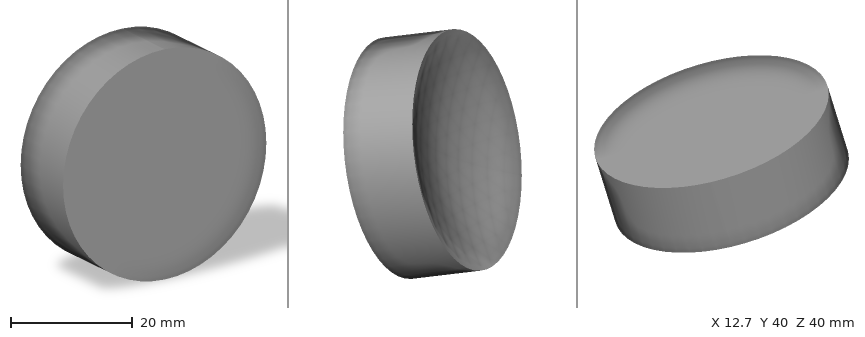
import cadquery as cq

diameter = 40.0
edge_thickness = 12.7
concave_radius = 43.7

rim_radius = diameter / 2
front_face_x = -edge_thickness / 2

sphere_centre_x = front_face_x - (concave_radius**2 - rim_radius**2) ** 0.5


def half_rod(start_angle):
    """Half of the cylindrical blank, starting at an angle about X."""
    return (
        cq.Workplane("YZ")
        .workplane(offset=front_face_x)
        .moveTo(0, -rim_radius)
        .threePointArc((rim_radius, 0), (0, rim_radius))
        .close()
        .extrude(edge_thickness)
        .rotate((0, 0, 0), (1, 0, 0), start_angle)
    )


def half_sphere(start_angle):
    """Half of the hollowing sphere, with poles along Y and its flat side on the XY plane."""
    return (
        cq.Workplane("XY")
        .sphere(concave_radius, angle3=180)
        .rotate((0, 0, 0), (1, 0, 0), 90)
        .rotate((0, 0, 0), (0, 1, 0), start_angle)
        .translate((sphere_centre_x, 0, 0))
    )


result = half_rod(0).union(half_rod(180), clean=False)
for start_angle in (0, 180):
    result = result.cut(half_sphere(start_angle), clean=False)